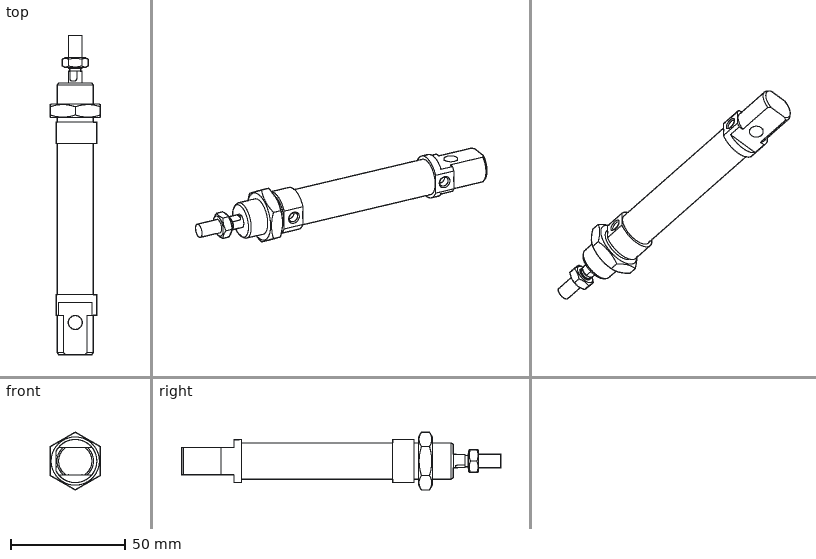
import cadquery as cq
import math


rod_tip_y = 140.0
rod_nut_rear_y = 125.9
thread_end_y = 125.5
rod_shoulder_y = 124.3
nose_y = 119.1
mount_nut_rear_y = 103.9
front_cap_front_y = 101.9
front_port_y = 97.0
front_cap_rear_y = 92.5
rear_cap_front_y = 26.3
tang_step_y = 23.0
rear_port_y = 21.8
rear_cap_rear_y = 17.2
pivot_y = 14.1

tube_diameter = 16.0
end_diameter = 14.5
end_chamfer_length = 1.0
end_chamfer_width = (tube_diameter - end_diameter) / 2
cap_diameter = 18.9
port_flat_x = -8.4
tang_thickness = 12.0
pivot_diameter = 6.0
port_mouth_diameter = 5.3
port_diameter = 4.2
port_chamfer = (port_mouth_diameter - port_diameter) / 2
port_depth = 3.9

rod_diameter = 6.0
neck_diameter = 5.0
wrench_flats = 5.0
wrench_length = 4.3
wrench_corner = 1.1
wrench_tilt = 20.0
rod_end_y = front_cap_rear_y

rod_nut_flats = 10.0
rod_nut_face_diameter = 9.0
rod_nut_length = 4.3
mount_nut_flats = 22.0
mount_nut_face_diameter = 21.1
mount_nut_length = 6.0
nut_chamfer_angle = 30.0


def cylinder(diameter, start_y, end_y):
    """Round bar along Y between two stations."""
    disc = cq.Workplane("XZ", origin=(0, start_y, 0)).circle(diameter / 2)
    return disc.extrude(start_y - end_y)


def chamfered_bar(radius, chamfer_width, chamfer_length, rear_y, front_y):
    """Round bar along Y with a cone of the given width and length at each end."""
    return (
        cq.Workplane("XY")
        .moveTo(0, rear_y)
        .lineTo(radius - chamfer_width, rear_y)
        .lineTo(radius, rear_y + chamfer_length)
        .lineTo(radius, front_y - chamfer_length)
        .lineTo(radius - chamfer_width, front_y)
        .lineTo(0, front_y)
        .close()
        .revolve(360, (0, 0, 0), (0, 1, 0))
    )


def box(x_size, y_size, z_size, center):
    return cq.Workplane("XY").box(x_size, y_size, z_size).translate(center)


def port_cutter(y):
    """Blind port drilled inward from the flat on the -X side, with a chamfered mouth."""
    face = cq.Workplane("YZ", origin=(port_flat_x, y, 0))
    bore = face.circle(port_diameter / 2).extrude(port_depth)
    mouth = cq.Solid.makeCone(
        port_mouth_diameter / 2,
        port_diameter / 2,
        port_chamfer,
        pnt=cq.Vector(port_flat_x, y, 0),
        dir=cq.Vector(1, 0, 0),
    )
    return bore.union(cq.Workplane(mouth))


def end_cap(rear_y, front_y):
    """Cap ring with one flat on the -X side for its port."""
    ring = cylinder(cap_diameter, rear_y, front_y)
    length = front_y - rear_y
    keep = box(cap_diameter, length, cap_diameter,
               (port_flat_x + cap_diameter / 2, (rear_y + front_y) / 2, 0))
    return ring.intersect(keep)


def make_housing():
    body = chamfered_bar(tube_diameter / 2, end_chamfer_width, end_chamfer_length, 0, nose_y)
    body = body.union(end_cap(front_cap_rear_y, front_cap_front_y))
    body = body.union(end_cap(rear_cap_rear_y, rear_cap_front_y))

    for side in (-1, 1):
        center_z = side * (tang_thickness + cap_diameter) / 2
        body = body.cut(box(2 * cap_diameter, tang_step_y, cap_diameter, (0, tang_step_y / 2, center_z)))

    pivot = cq.Workplane("XY", origin=(0, pivot_y, 0)).circle(pivot_diameter / 2)
    body = body.cut(pivot.extrude(tang_thickness, both=True))

    for y in (front_port_y, rear_port_y):
        body = body.cut(port_cutter(y))

    return body.cut(cylinder(rod_diameter, rod_end_y, nose_y))


def make_rod():
    rod = cylinder(rod_diameter, rod_end_y, rod_shoulder_y)
    rod = rod.union(cylinder(neck_diameter, rod_shoulder_y, thread_end_y))
    rod = rod.union(cylinder(rod_diameter, thread_end_y, rod_tip_y))

    flat_width = math.sqrt(rod_diameter**2 - wrench_flats**2)
    center_y = rod_shoulder_y - wrench_length / 2
    for side in (-1, 1):
        flat = box(flat_width, wrench_length, rod_diameter,
                   (0, center_y, side * (wrench_flats + rod_diameter) / 2))
        flat = flat.faces("<Y").edges("|Z").fillet(wrench_corner)
        rod = rod.cut(flat.rotate((0, 0, 0), (0, 1, 0), -wrench_tilt))
    return rod


def make_nut(flats, face_diameter, bore, rear_y, length, first_corner_angle):
    """Hex nut along Y with both faces turned down to a cone."""
    corner_radius = flats / math.sqrt(3)
    angles = [math.radians(first_corner_angle + 60 * i) for i in range(6)]
    corners = [(corner_radius * math.cos(a), corner_radius * math.sin(a)) for a in angles]
    hexagon = cq.Workplane("XZ", origin=(0, rear_y, 0)).polyline(corners).close().extrude(-length)

    face_radius = face_diameter / 2
    chamfer_length = (corner_radius - face_radius) * math.tan(math.radians(nut_chamfer_angle))
    front_y = rear_y + length
    envelope = chamfered_bar(corner_radius, corner_radius - face_radius, chamfer_length, rear_y, front_y)
    return hexagon.intersect(envelope).cut(cylinder(bore, rear_y, front_y))


housing = make_housing()
rod = make_rod()
rod_nut = make_nut(
    rod_nut_flats, rod_nut_face_diameter, rod_diameter, rod_nut_rear_y, rod_nut_length, 0
)
mount_nut = make_nut(
    mount_nut_flats, mount_nut_face_diameter, tube_diameter, mount_nut_rear_y, mount_nut_length, 30
)

result = cq.Compound.makeCompound([housing.val(), rod.val(), rod_nut.val(), mount_nut.val()])